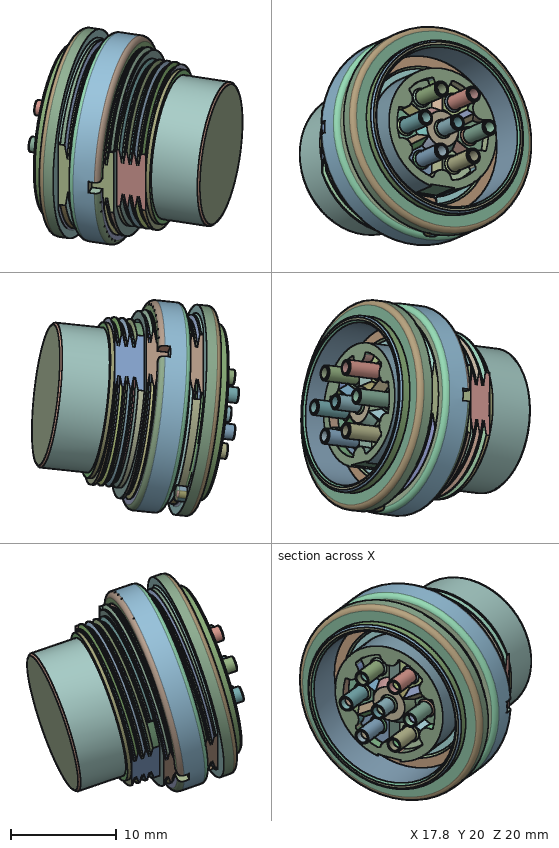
import cadquery as cq
import math


LENGTH = 17.8
COLLAR_X = 1.8
FLANGE_X = 2.8
FLANGE_END_X = 4.3
STEP_X = 9.8
SMALL_THREAD_END_X = 12.65
BARREL_X = 13.05

COLLAR_RADIUS = 8.4
FLANGE_RADIUS = 10.0
SHOULDER_RADIUS = 7.4
BARREL_RADIUS = 6.9
EDGE_CHAMFER = 0.2
FLANGE_FILLET = 0.5
THREAD_ROOT_FILLET = 0.2

PITCH = 0.75
THREAD_DEPTH = 0.41
GROOVE_ROOT_HALF_WIDTH = 0.09
FLANK_ANGLE = 30
GROOVE_OVERSHOOT = 0.1
LARGE_THREAD_RADIUS = 9.0
LARGE_GROOVE_X = 4.89
LARGE_GROOVE_START = 65
LARGE_GROOVE_TURNS = 6.51
LARGE_FLAT = 8.4
SMALL_THREAD_RADIUS = 8.0
SMALL_GROOVE_X = 10.11
SMALL_GROOVE_START = 133
SMALL_GROOVE_TURNS = 3.32
SMALL_FLAT = SHOULDER_RADIUS

NUT_X = 5.75
NUT_WIDTH = 3.1
NUT_RADIUS = 10.0
NUT_FILLET = 0.5
NUT_BORE_RADIUS = 8.9
NUT_SLOT_WIDTH = 1.16
NUT_SLOT_DEPTH = 1.05

TAB_LENGTH = 1.0
TAB_WIDTH = 1.5
TAB_CORNER_RADIUS = 0.5
TAB_END_FILLET = 0.2

CAVITY_RADIUS = 7.75
CAVITY_FLOOR_X = 5.8
SEAT_RADIUS = 6.55
SEAT_DEPTH = 0.2

KEY_WIDTH = 2.5
KEY_TIP_RADIUS = 5.72
KEY_CORNER_RADIUS = 0.5
KEY_CHAMFER = 0.19

INSERT_FACE_X = 2.8
INSERT_RADIUS = 5.9
KEY_CLEARANCE_RADIUS = 5.6
POCKET_DEPTH = 1.02
POCKET_RADIUS = 5.0
POCKET_CORNER_RADIUS = 0.2
LOBE_RADIUS = 1.0
HUB_TOP_RADIUS = 1.73
SLOPE_RUN = 0.59

CONTACT_COUNT = 6
CONTACT_CIRCLE_RADIUS = 3.5
PIN_RADIUS = 0.75
PIN_CHAMFER = 0.1
PIN_BORE_RADIUS = 0.55
PIN_BORE_DEPTH = 1.5
DRILL_POINT_ANGLE = 118
PIN_COLLAR_RADIUS = 0.91
PIN_COLLAR_HEIGHT = 0.2


def along_x(x):
    """Workplane across the axis at station x; local X is +Y and local Y is +Z."""
    return cq.Workplane("YZ", origin=(x, 0, 0))


def disc(x_start, x_end, radius):
    return along_x(x_start).circle(radius).extrude(x_end - x_start)


def cone(x_start, x_end, radius_start, radius_end):
    profile = [(x_start, 0), (x_start, radius_start), (x_end, radius_end)]
    if radius_end > 0:
        profile.append((x_end, 0))
    return cq.Workplane("XY").polyline(profile).close().revolve(360, (0, 0, 0), (1, 0, 0))


def spoke_angles():
    """Directions between neighbouring outer contacts, in degrees from +Y."""
    return [(i + 0.5) * 360 / CONTACT_COUNT for i in range(CONTACT_COUNT)]


def polar(radius, angle):
    return radius * math.cos(math.radians(angle)), radius * math.sin(math.radians(angle))


def thread_groove(crest_radius, start_x, start_angle, turns):
    root = crest_radius - THREAD_DEPTH
    outside = crest_radius + GROOVE_OVERSHOOT
    outer_half = GROOVE_ROOT_HALF_WIDTH + (outside - root) * math.tan(math.radians(FLANK_ANGLE))
    helix = cq.Wire.makeHelix(PITCH, PITCH * turns, root)
    groove = (
        cq.Workplane("XZ")
        .polyline([
            (root, -GROOVE_ROOT_HALF_WIDTH),
            (outside, -outer_half),
            (outside, outer_half),
            (root, GROOVE_ROOT_HALF_WIDTH),
        ])
        .close()
        .sweep(cq.Workplane(helix), isFrenet=True)
    )
    groove = groove.rotate((0, 0, 0), (0, 0, 1), start_angle)
    return groove.rotate((0, 0, 0), (0, 1, 0), 90).translate((start_x, 0, 0))


def between_flats(x_start, x_end, radius, flat):
    slab = cq.Workplane("XY").box(x_end - x_start, 2 * flat, 2 * radius)
    return slab.translate(((x_start + x_end) / 2, 0, 0))


def threaded_section(x_start, x_end, radius, flat, groove):
    body = disc(x_start - PITCH, x_end + PITCH, radius)
    body = body.cut(groove)
    return body.intersect(between_flats(x_start, x_end, radius, flat))


def make_flange_cove():
    """Concave fillet between the flange and the large thread, interrupted by the flats."""
    inner = LARGE_THREAD_RADIUS - THREAD_DEPTH
    end_x = FLANGE_END_X + THREAD_ROOT_FILLET
    outer = LARGE_THREAD_RADIUS + THREAD_ROOT_FILLET
    arc_offset = THREAD_ROOT_FILLET * (1 - math.sqrt(0.5))
    arc_middle = (FLANGE_END_X + arc_offset, LARGE_THREAD_RADIUS + arc_offset)
    cove = (
        cq.Workplane("XY")
        .moveTo(FLANGE_END_X, inner)
        .lineTo(FLANGE_END_X, outer)
        .threePointArc(arc_middle, (end_x, LARGE_THREAD_RADIUS))
        .lineTo(end_x, inner)
        .close()
        .revolve(360, (0, 0, 0), (1, 0, 0))
    )
    return cove.intersect(between_flats(FLANGE_END_X, end_x, outer, LARGE_FLAT))


def make_shell():
    collar = disc(COLLAR_X, FLANGE_X, COLLAR_RADIUS).faces("<X").chamfer(EDGE_CHAMFER)
    flange = disc(FLANGE_X, FLANGE_END_X, FLANGE_RADIUS).faces("<X").edges().fillet(FLANGE_FILLET)
    large_groove = thread_groove(
        LARGE_THREAD_RADIUS, LARGE_GROOVE_X, LARGE_GROOVE_START, LARGE_GROOVE_TURNS
    )
    large_thread = threaded_section(FLANGE_END_X, STEP_X, LARGE_THREAD_RADIUS, LARGE_FLAT, large_groove)
    small_groove = thread_groove(
        SMALL_THREAD_RADIUS, SMALL_GROOVE_X, SMALL_GROOVE_START, SMALL_GROOVE_TURNS
    )
    small_thread = threaded_section(
        STEP_X, SMALL_THREAD_END_X, SMALL_THREAD_RADIUS, SMALL_FLAT, small_groove
    )
    shoulder = disc(SMALL_THREAD_END_X, BARREL_X, SHOULDER_RADIUS)
    barrel = disc(BARREL_X, LENGTH, BARREL_RADIUS).faces(">X").chamfer(EDGE_CHAMFER)
    flange = flange.union(make_flange_cove())
    return collar.union(flange).union(large_thread).union(small_thread).union(shoulder).union(barrel)


def make_nut():
    nut = disc(NUT_X, NUT_X + NUT_WIDTH, NUT_RADIUS).edges().fillet(NUT_FILLET)
    nut = nut.cut(disc(NUT_X, NUT_X + NUT_WIDTH, NUT_BORE_RADIUS))
    slot = cq.Workplane("XY").box(NUT_SLOT_DEPTH, 2 * NUT_RADIUS, NUT_SLOT_WIDTH)
    return nut.cut(slot.translate((NUT_X + NUT_WIDTH - NUT_SLOT_DEPTH / 2, 0, 0)))


def make_tab():
    root_z = -(LARGE_THREAD_RADIUS - THREAD_DEPTH)
    height = FLANGE_RADIUS + root_z
    tab = cq.Workplane("XY").box(TAB_LENGTH, TAB_WIDTH, height)
    tab = tab.edges("|X and <Z").fillet(TAB_CORNER_RADIUS)
    tab = tab.faces(">X").edges("not >Z").fillet(TAB_END_FILLET)
    return tab.translate((FLANGE_END_X + TAB_LENGTH / 2, 0, root_z - height / 2))


def make_cavity():
    mouth = cone(COLLAR_X, COLLAR_X + EDGE_CHAMFER, CAVITY_RADIUS + EDGE_CHAMFER, CAVITY_RADIUS)
    bore = disc(COLLAR_X, CAVITY_FLOOR_X, CAVITY_RADIUS)
    seat_end_x = CAVITY_FLOOR_X + SEAT_DEPTH
    seat = cone(CAVITY_FLOOR_X, seat_end_x, SEAT_RADIUS + SEAT_DEPTH, SEAT_RADIUS)
    return bore.union(mouth).union(seat.cut(make_key()))


def make_key():
    height = SEAT_RADIUS + SEAT_DEPTH - KEY_TIP_RADIUS + KEY_CORNER_RADIUS
    key = cq.Workplane("XY").box(SEAT_DEPTH, KEY_WIDTH, height)
    key = key.edges("|X and >Z").fillet(KEY_CORNER_RADIUS)
    key = key.faces("<X").edges().chamfer(KEY_CHAMFER)
    return key.translate((CAVITY_FLOOR_X + SEAT_DEPTH / 2, 0, -KEY_TIP_RADIUS - height / 2))


def make_spoke(angle):
    """Roof-shaped rib from the axis outwards, its ridge level with the insert face."""
    floor_x = INSERT_FACE_X + POCKET_DEPTH
    roof = (
        cq.Workplane("XY")
        .polyline([(INSERT_FACE_X, 0), (floor_x, SLOPE_RUN), (floor_x, -SLOPE_RUN)])
        .close()
        .extrude(POCKET_RADIUS)
    )
    return roof.rotate((0, 0, 0), (1, 0, 0), angle - 90)


def make_pocket():
    """Recess around the outer contacts, leaving the lobes, spokes and hub standing."""
    floor_x = INSERT_FACE_X + POCKET_DEPTH
    lobe_points = [polar(POCKET_RADIUS, angle) for angle in spoke_angles()]
    lobes = along_x(INSERT_FACE_X).pushPoints(lobe_points).circle(LOBE_RADIUS).extrude(POCKET_DEPTH)
    pocket = disc(INSERT_FACE_X, floor_x, POCKET_RADIUS).cut(lobes)
    pocket = pocket.edges("|X").fillet(POCKET_CORNER_RADIUS)
    pocket = pocket.cut(cone(INSERT_FACE_X, floor_x, HUB_TOP_RADIUS, HUB_TOP_RADIUS + SLOPE_RUN))
    for angle in spoke_angles():
        pocket = pocket.cut(make_spoke(angle))
    return pocket


def make_insert():
    insert_end_x = CAVITY_FLOOR_X + SEAT_DEPTH
    length = insert_end_x - INSERT_FACE_X
    insert = disc(INSERT_FACE_X, insert_end_x, INSERT_RADIUS)
    clearance_height = INSERT_RADIUS - KEY_CLEARANCE_RADIUS
    clearance = cq.Workplane("XY").box(length, KEY_WIDTH, clearance_height)
    clearance_z = -(INSERT_RADIUS + KEY_CLEARANCE_RADIUS) / 2
    insert = insert.cut(clearance.translate((INSERT_FACE_X + length / 2, 0, clearance_z)))
    return insert.cut(make_pocket())


def make_contact(base_x):
    """Solder pin on the axis, with a blind cone-ended bore and a bevelled base collar."""
    pin = disc(0, base_x, PIN_RADIUS).faces("<X").chamfer(PIN_CHAMFER)
    collar = cone(base_x - PIN_COLLAR_HEIGHT, base_x, PIN_RADIUS, PIN_COLLAR_RADIUS)
    bore = disc(0, PIN_BORE_DEPTH, PIN_BORE_RADIUS)
    tip_length = PIN_BORE_RADIUS / math.tan(math.radians(DRILL_POINT_ANGLE / 2))
    drill_tip = cone(PIN_BORE_DEPTH, PIN_BORE_DEPTH + tip_length, PIN_BORE_RADIUS, 0)
    return pin.union(collar).cut(bore).cut(drill_tip)


def make_contact_assembly():
    """Insert carrying the centre contact and the ring of outer contacts."""
    assembly = make_insert().union(make_contact(INSERT_FACE_X))
    outer_contact = make_contact(INSERT_FACE_X + POCKET_DEPTH)
    for i in range(CONTACT_COUNT):
        y, z = polar(CONTACT_CIRCLE_RADIUS, i * 360 / CONTACT_COUNT)
        assembly = assembly.union(outer_contact.translate((0, y, z)))
    return assembly


housing = make_shell().union(make_nut()).union(make_tab()).cut(make_cavity())
result = housing.union(make_contact_assembly())